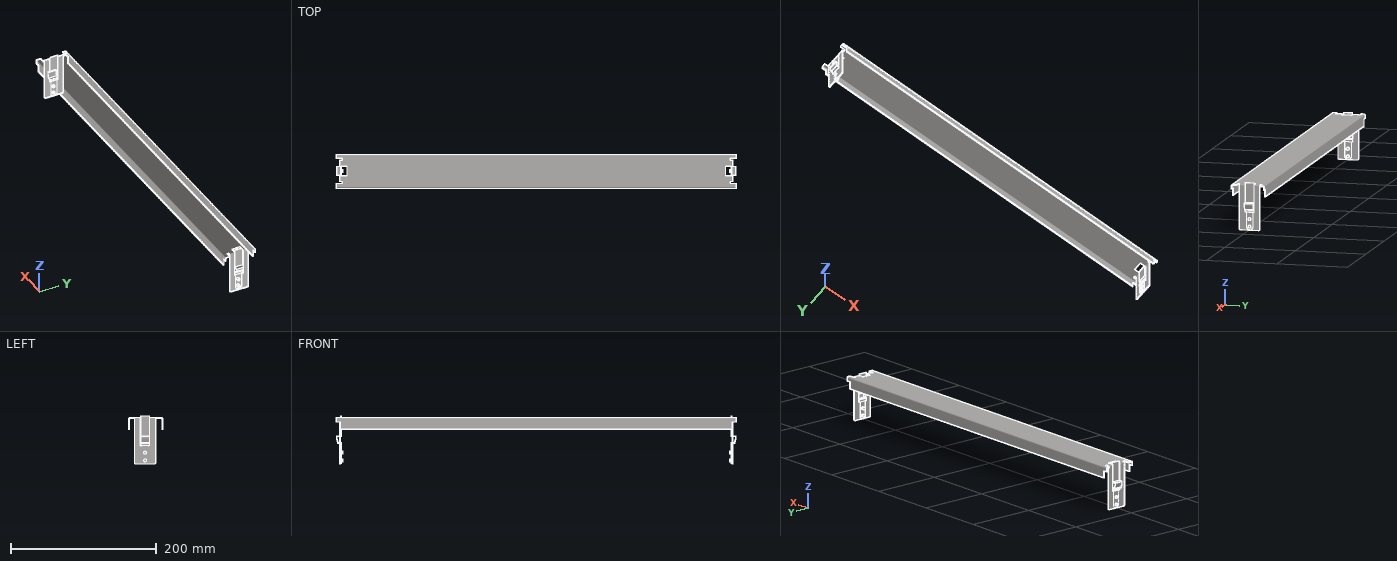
import cadquery as cq

rail_length = 549.91
rail_width = 47.2
sheet = 1.5
bend_radius = 2.3
inner_bend_radius = bend_radius - sheet
flange_depth = 16.5

ear_length = 5.0
ear_depth = 6.4
plate_width = 29.4
end_offset_y = 0.9
plate_corner_radius = 2.0
relief_width = 2.5
relief_undercut = 3.3
relief_length = ear_length + relief_undercut

overall_height = 66.04
latch_rise = 2.0
plate_depth = overall_height - latch_rise
plate_face_x = rail_length / 2 - ear_length
flange_setback = 1.0

window_width = 12.7
window_length = 15.0
window_end_x = rail_length / 2 - window_length
window_depth = 38.8

latch_thickness = 1.0
latch_head_width = 12.5
latch_tail_width = 9.6
latch_tail_top = -window_depth
latch_tail_bottom = -63.5
latch_tail_chamfer = 3.0
bump_reach = 4.5
bump_top = -25.5
bump_foot = -35.5
bump_face_bottom = -29.0
bump_foot_reach = 2.8

rivet_diameter = 4.0
rivet_stub_length = 3.0
rivet_heights = (-59.0, -48.4)


def centred_box(x_from, x_to, width, z_from, z_to, y_centre=0):
    """A box between two X and two Z values, centred on y_centre."""
    return (
        cq.Workplane("XY")
        .box(x_to - x_from, width, z_to - z_from)
        .translate(((x_from + x_to) / 2, y_centre, (z_from + z_to) / 2))
    )


def both_ends(shape):
    """The shape at the +X end, and its mirror image at the -X end."""
    return shape, shape.mirror("YZ")


def make_channel():
    """Top sheet and the two side flanges, with rounded bends."""
    outer = (
        centred_box(-rail_length / 2, rail_length / 2, rail_width, -flange_depth, 0)
        .edges("|X and >Z")
        .fillet(bend_radius)
    )
    inner = (
        centred_box(-rail_length / 2, rail_length / 2, rail_width - 2 * sheet, -flange_depth, -sheet)
        .edges("|X and >Z")
        .fillet(inner_bend_radius)
    )
    return outer.cut(inner)


def end_notch():
    """Material removed at the +X end to leave the ears and the bend reliefs."""
    end_x = rail_length / 2
    notch_width = plate_width + 2 * relief_width
    reliefs = centred_box(end_x - relief_length, end_x, notch_width, -ear_depth, 0, end_offset_y)
    beside_plate = centred_box(plate_face_x - flange_setback, end_x, rail_width, -flange_depth, -ear_depth)
    return reliefs.union(beside_plate)


def end_plate():
    """The +X end of the top sheet, folded down into the end plate."""
    root_x = rail_length / 2 - relief_length
    outer = (
        centred_box(root_x, plate_face_x, plate_width, -plate_depth, 0, end_offset_y)
        .edges("|Y and >X and >Z")
        .fillet(bend_radius)
    )
    inner = (
        centred_box(root_x, plate_face_x - sheet, plate_width, -plate_depth, -sheet, end_offset_y)
        .edges("|Y and >X and >Z")
        .fillet(inner_bend_radius)
    )
    return outer.cut(inner).edges("|X and <Z").fillet(plate_corner_radius)


def rivet(z):
    """A rivet at the +X end, flush with the plate outside and ending in a stub inside the latch."""
    stub_end_x = plate_face_x - sheet - rivet_stub_length
    shank = cq.Workplane("YZ", origin=(stub_end_x, end_offset_y, z)).circle(rivet_diameter / 2)
    return shank.extrude(plate_face_x - stub_end_x)


def make_rail(rivets):
    """The folded rail with windows and rivet holes at both ends."""
    rail = make_channel()
    for notch in both_ends(end_notch()):
        rail = rail.cut(notch)
    for plate in both_ends(end_plate()):
        rail = rail.union(plate)
    window = centred_box(window_end_x, rail_length / 2, window_width, -window_depth, 0, end_offset_y)
    for opening in both_ends(window):
        rail = rail.cut(opening)
    for fastener in rivets:
        rail = rail.cut(fastener)
    return rail


def make_latch():
    """The latch at the +X end before its rivet holes: a bent strip with a wide head and a narrow tail."""
    front_x = plate_face_x - sheet
    back_x = front_x - latch_thickness
    bump_x = plate_face_x + bump_reach
    foot_x = plate_face_x + bump_foot_reach
    strip = (
        cq.Workplane("XZ")
        .moveTo(back_x, latch_rise)
        .lineTo(front_x, latch_rise)
        .lineTo(front_x, bump_top)
        .lineTo(bump_x, bump_top)
        .lineTo(bump_x, bump_face_bottom)
        .lineTo(foot_x, bump_foot)
        .lineTo(front_x, bump_foot)
        .lineTo(front_x, latch_tail_bottom)
        .lineTo(back_x, latch_tail_bottom)
        .lineTo(back_x, bump_foot + latch_thickness)
        .lineTo(foot_x - latch_thickness, bump_foot + latch_thickness)
        .lineTo(bump_x - latch_thickness, bump_face_bottom)
        .lineTo(bump_x - latch_thickness, bump_top - latch_thickness)
        .lineTo(back_x, bump_top - latch_thickness)
        .close()
        .extrude(rail_width / 2, both=True)
    )
    head = centred_box(back_x, bump_x, latch_head_width, latch_tail_top, latch_rise, end_offset_y)
    tail = (
        centred_box(back_x, bump_x, latch_tail_width, latch_tail_bottom, latch_tail_top, end_offset_y)
        .edges("|X and <Z")
        .chamfer(latch_tail_chamfer)
    )
    return strip.intersect(head.union(tail))


end_rivets = [rivet(z) for z in rivet_heights]
end_latch = make_latch()
for end_rivet in end_rivets:
    end_latch = end_latch.cut(end_rivet)

rivets = [copy for end_rivet in end_rivets for copy in both_ends(end_rivet)]
latches = both_ends(end_latch)
rail = make_rail(rivets)

result = cq.Compound.makeCompound(
    [rail.val(), *[latch.val() for latch in latches], *[fastener.val() for fastener in rivets]]
)